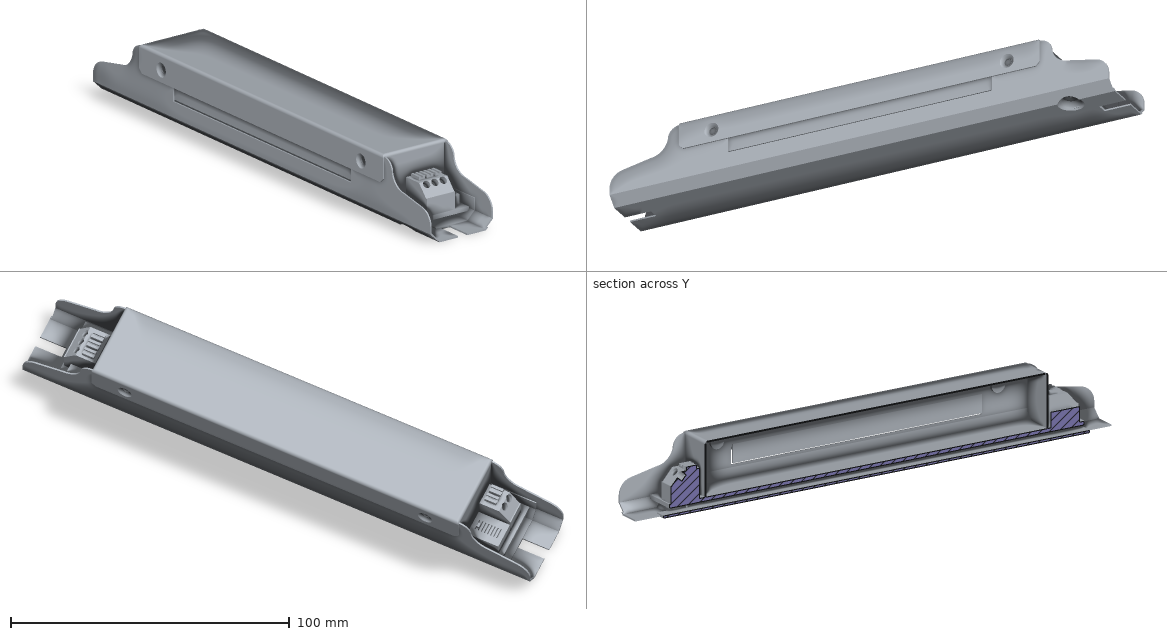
import cadquery as cq
import math

CHANNEL_LEFT = -101.0
CHANNEL_RIGHT = 100.4
FLOOR_RIGHT = 101.0
LIP_HEIGHT = 1.0
SHEET = 0.6
COVER_SHEET = 0.5
COVER_HALF_WIDTH = 14.6
CHANNEL_HALF_WIDTH = COVER_HALF_WIDTH - COVER_SHEET
WALL_INSIDE = CHANNEL_HALF_WIDTH - SHEET
FLOOR_HALF_WIDTH = 10.4
BEND_HEIGHT = 3.6
SLOT_END = 90.5
SLOT_WIDTH = 4.1

WALL_END_HEIGHT = 6.5
NOSE_MID = (1.7, 10.6)
NOSE_TOP = (5.0, 12.4)
SHOULDER_START = (84.4, 14.6)
SHOULDER_MID = (79.8, 16.5)
SHOULDER_END = (77.5, 20.3)
CREST_MID = (76.2, 23.7)
CREST_END = (73.0, 25.2)

COVER_HALF_LENGTH = 72.8
COVER_TOP = 26.0
COVER_BOTTOM = 15.2
COVER_EDGE_RADIUS = 1.2
FLAP_CORNER = 1.6
END_FLAP_HALF_WIDTH = 12.85
END_FLAP_CORNER = 2.7

FIXING_X = 59.6
FIXING_Z = 19.9
DIMPLE_DIAMETER = 5.6
DIMPLE_FLOOR_DIAMETER = 3.2
FIXING_HOLE_DIAMETER = 2.9
FIXING_HOLE_DEPTH = 0.6
FIXING_BACKING = 1.2

WINDOW_HALF_LENGTH = 53.2
WINDOW_BOTTOM = 9.7
WINDOW_TOP = 16.5
TONGUE_GAP = 0.6
TONGUE_OVERLAP = 1.0

LINER = 0.4
LINER_TOP = 8.8
LINER_CUTBACK_X = 70.0
LINER_CUTBACK_Y = -4.0

BOARD_LEFT = -88.2
BOARD_RIGHT = 88.0
BOARD_HALF_WIDTH = 12.6
BOARD_BOTTOM = 3.3
BOARD_TOP = 4.9

EARTH = (82.2, -8.2)
DOME_BASE_DIAMETER = 10.8
DOME_TOP_DIAMETER = 5.6
EARTH_BOARD_HOLE = 2.9
EARTH_DOME_HOLE = 0.7

TERMINAL_DEPTH = 12.4
TERMINAL_FRONT_HEIGHT = 11.6
TERMINAL_TOP = 16.4
TERMINAL_LEDGE = 0.4
TERMINAL_SLOPE_RUN = 4.2
POLE_PITCH = 3.7
WIRE_HOLE_DIAMETER = 2.9
WIRE_HOLE_DEPTH = 2.5
WIRE_HOLE_ALONG_SLOPE = 0.8
BUTTON_START = 6.6
BUTTON_LENGTH = 4.6
BUTTON_WIDTH = 2.8
BUTTON_TOP = 17.8
BUTTON_SLOT_WIDTH = 0.8
BUTTON_SLOT_DEPTH = 0.7
PIN_DIAMETER = 0.7
PIN_BOTTOM = 1.0
LEFT_TERMINAL_FRONT = -86.3
LEFT_TERMINAL_Y = (-9.4, -0.8)
LEFT_POLE_Y = -7.6
LEFT_POLES = 2
RIGHT_TERMINAL_FRONT = 87.4
RIGHT_TERMINAL_Y = (-5.9, 6.8)
RIGHT_POLE_Y = -3.1
RIGHT_POLES = 3

HEADER_Y = (-0.2, 9.6)
HEADER_TOP = 10.8
HEADER_SLITS = 8
HEADER_PITCH = 1.22
HEADER_FIRST_SLIT_X = -84.3
HEADER_SLIT_WIDTH = 0.4
HEADER_SLIT_LENGTH = 4.0
HEADER_SLIT_DEPTH = 0.8
HEADER_SLIT_Y = 4.7
KEY_SIZE = (1.0, 1.6)
KEY_X = -76.4
KEY_Y = 5.2
KEY_TOP = 12.1
PEG_DIAMETER = 1.6
PEG_Y = 8.8
PEG_BOTTOM = 2.2
COMPONENT_X = (75.9, 84.5)
COMPONENT_Y = (7.1, 11.0)
COMPONENT_TOP = 9.0


def block(x_range, y_range, z_range):
    """Box from its limits along the three axes."""
    (x0, x1), (y0, y1), (z0, z1) = x_range, y_range, z_range
    return cq.Workplane("XY").box(x1 - x0, y1 - y0, z1 - z0, centered=False).translate((x0, y0, z0))


def channel_section(inset, top):
    """Closed trough outline (in Y and Z) lying `inset` inside the channel's outer faces."""
    slant = math.atan2(BEND_HEIGHT, CHANNEL_HALF_WIDTH - FLOOR_HALF_WIDTH)
    floor_half = FLOOR_HALF_WIDTH - inset * math.tan(slant / 2)
    wall_half = CHANNEL_HALF_WIDTH - inset
    bend = BEND_HEIGHT + inset * math.tan((math.pi / 2 - slant) / 2)
    return [
        (-wall_half, top),
        (-wall_half, bend),
        (-floor_half, inset),
        (floor_half, inset),
        (wall_half, bend),
        (wall_half, top),
    ]


def trough(inset, x_range, top):
    """Solid filling the trough section between two X positions."""
    section = cq.Workplane("YZ").polyline(channel_section(inset, top)).close()
    return section.extrude(x_range[1] - x_range[0]).translate((x_range[0], 0, 0))


def wall_outline():
    """Side outline of the channel, a low nose and a raised shoulder at each end."""
    nose_left_mid = (CHANNEL_LEFT + NOSE_MID[0], NOSE_MID[1])
    nose_left_top = (CHANNEL_LEFT + NOSE_TOP[0], NOSE_TOP[1])
    nose_right_mid = (CHANNEL_RIGHT - NOSE_MID[0], NOSE_MID[1])
    nose_right_top = (CHANNEL_RIGHT - NOSE_TOP[0], NOSE_TOP[1])

    def left(point):
        return (-point[0], point[1])

    return (
        cq.Workplane("XZ")
        .moveTo(CHANNEL_LEFT, 0)
        .lineTo(CHANNEL_LEFT, WALL_END_HEIGHT)
        .threePointArc(nose_left_mid, nose_left_top)
        .lineTo(*left(SHOULDER_START))
        .threePointArc(left(SHOULDER_MID), left(SHOULDER_END))
        .threePointArc(left(CREST_MID), left(CREST_END))
        .lineTo(*CREST_END)
        .threePointArc(CREST_MID, SHOULDER_END)
        .threePointArc(SHOULDER_MID, SHOULDER_START)
        .lineTo(*nose_right_top)
        .threePointArc(nose_right_mid, (CHANNEL_RIGHT, WALL_END_HEIGHT))
        .lineTo(CHANNEL_RIGHT, 0)
        .close()
        .extrude(CHANNEL_HALF_WIDTH, both=True)
    )


def make_channel():
    """Channel with shaped walls, mounting slots at both ends and a window in the front wall."""
    length = (CHANNEL_LEFT, CHANNEL_RIGHT)
    channel = trough(0, length, COVER_TOP).cut(trough(SHEET, length, COVER_TOP))
    channel = channel.intersect(wall_outline())
    lip_x = (CHANNEL_RIGHT, FLOOR_RIGHT)
    lip = trough(0, lip_x, COVER_TOP).cut(trough(SHEET, lip_x, COVER_TOP))
    lip = lip.intersect(block(lip_x, (-CHANNEL_HALF_WIDTH, CHANNEL_HALF_WIDTH), (0, LIP_HEIGHT)))
    channel = channel.union(lip)
    slot_y = (-SLOT_WIDTH / 2, SLOT_WIDTH / 2)
    for slot_x in ((CHANNEL_LEFT, -SLOT_END), (SLOT_END, FLOOR_RIGHT)):
        channel = channel.cut(block(slot_x, slot_y, (0, SHEET)))
    window = block(
        (-WINDOW_HALF_LENGTH, WINDOW_HALF_LENGTH),
        (-CHANNEL_HALF_WIDTH, -WALL_INSIDE),
        (WINDOW_BOTTOM, WINDOW_TOP),
    )
    tongue = block(
        (-WINDOW_HALF_LENGTH, WINDOW_HALF_LENGTH - TONGUE_GAP),
        (-WALL_INSIDE, -WALL_INSIDE + LINER),
        (WINDOW_BOTTOM + TONGUE_GAP, WINDOW_TOP + TONGUE_OVERLAP),
    )
    return channel.cut(window).union(tongue)


def make_liner():
    """Thin sheet lying on the floor and partly up the walls, cut back around the earth dome."""
    length = (-SLOT_END, SLOT_END)
    liner = trough(SHEET, length, LINER_TOP).cut(trough(SHEET + LINER, length, LINER_TOP))
    cutback = block(
        (LINER_CUTBACK_X, SLOT_END),
        (-CHANNEL_HALF_WIDTH, LINER_CUTBACK_Y),
        (0, LINER_TOP),
    )
    return liner.cut(cutback)


def make_cover():
    """Folded cover: rounded top edges, side flaps outside the walls, end flaps inside them."""
    outer_x = (-COVER_HALF_LENGTH, COVER_HALF_LENGTH)
    inner_x = (-COVER_HALF_LENGTH + COVER_SHEET, COVER_HALF_LENGTH - COVER_SHEET)
    outer = block(outer_x, (-COVER_HALF_WIDTH, COVER_HALF_WIDTH), (COVER_BOTTOM, COVER_TOP))
    outer = outer.edges("|Y and <Z").chamfer(FLAP_CORNER)
    outer = outer.faces(">Z").edges().fillet(COVER_EDGE_RADIUS)
    inner = block(
        outer_x,
        (-CHANNEL_HALF_WIDTH, CHANNEL_HALF_WIDTH),
        (COVER_BOTTOM, COVER_TOP - COVER_EDGE_RADIUS),
    )
    roof_underside = block(
        inner_x,
        (-WALL_INSIDE, WALL_INSIDE),
        (COVER_BOTTOM, COVER_TOP - COVER_SHEET),
    )
    cover = outer.cut(inner).cut(roof_underside)
    for flap_x in ((outer_x[0], inner_x[0]), (inner_x[1], outer_x[1])):
        flap = block(
            flap_x,
            (-END_FLAP_HALF_WIDTH, END_FLAP_HALF_WIDTH),
            (BOARD_TOP, COVER_TOP - COVER_EDGE_RADIUS),
        )
        cover = cover.union(flap.edges("|X and <Z").chamfer(END_FLAP_CORNER))
    return cover


def fixing_plane(x, side):
    """Workplane on the outside of the cover flap at a fixing, facing out of the part."""
    origin = (x, side * COVER_HALF_WIDTH, FIXING_Z)
    return cq.Workplane(cq.Plane(origin=origin, xDir=(1, 0, 0), normal=(0, side, 0)))


def add_fixings(body):
    """Four conical dimples that hold the cover to the walls, each with a small blind hole."""
    dimple_depth = COVER_HALF_WIDTH - WALL_INSIDE
    for x in (-FIXING_X, FIXING_X):
        for side in (-1, 1):
            plane = fixing_plane(x, side)
            backing = plane.workplane(offset=-dimple_depth).circle(DIMPLE_DIAMETER / 2)
            body = body.union(backing.extrude(-FIXING_BACKING))
            dimple = (
                plane.circle(DIMPLE_DIAMETER / 2)
                .workplane(offset=-dimple_depth)
                .circle(DIMPLE_FLOOR_DIAMETER / 2)
                .loft()
            )
            hole = plane.workplane(offset=-dimple_depth).circle(FIXING_HOLE_DIAMETER / 2)
            body = body.cut(dimple).cut(hole.extrude(-FIXING_HOLE_DEPTH))
    return body


def make_board():
    """Circuit board with a clearance hole over the earth dome."""
    board = block(
        (BOARD_LEFT, BOARD_RIGHT),
        (-BOARD_HALF_WIDTH, BOARD_HALF_WIDTH),
        (BOARD_BOTTOM, BOARD_TOP),
    )
    hole = cq.Workplane("XY").center(*EARTH).circle(EARTH_BOARD_HOLE / 2).extrude(BOARD_TOP)
    return board.cut(hole)


def earth_cone(lowering):
    """Cone of the earth dome, lowered to make the hollow underneath."""
    return (
        cq.Workplane("XY", origin=(*EARTH, -lowering))
        .circle(DOME_BASE_DIAMETER / 2)
        .workplane(offset=BOARD_BOTTOM)
        .circle(DOME_TOP_DIAMETER / 2)
        .loft()
    )


def add_earth_dome(channel):
    """Presses a hollow dome up out of the floor until it touches the board."""
    inside = trough(0, (CHANNEL_LEFT, CHANNEL_RIGHT), COVER_TOP)
    pilot = cq.Workplane("XY").center(*EARTH).circle(EARTH_DOME_HOLE / 2).extrude(BOARD_BOTTOM)
    return channel.union(earth_cone(0).intersect(inside)).cut(earth_cone(SHEET)).cut(pilot)


def make_terminal(front_x, inward, y_range, first_pole_y, poles):
    """Push-wire terminal; `inward` is the X direction from its front towards the cover."""
    width = y_range[1] - y_range[0]
    slope_x = front_x + inward * TERMINAL_LEDGE
    slope_top_x = slope_x + inward * TERMINAL_SLOPE_RUN
    back_x = front_x + inward * TERMINAL_DEPTH
    profile = [
        (front_x, BOARD_TOP),
        (front_x, TERMINAL_FRONT_HEIGHT),
        (slope_x, TERMINAL_FRONT_HEIGHT),
        (slope_top_x, TERMINAL_TOP),
        (back_x, TERMINAL_TOP),
        (back_x, BOARD_TOP),
    ]
    terminal = cq.Workplane("XZ", origin=(0, y_range[0], 0)).polyline(profile).close().extrude(-width)

    rise = TERMINAL_TOP - TERMINAL_FRONT_HEIGHT
    wire_x = slope_x + inward * WIRE_HOLE_ALONG_SLOPE * TERMINAL_SLOPE_RUN
    wire_z = TERMINAL_FRONT_HEIGHT + WIRE_HOLE_ALONG_SLOPE * rise
    button_mid_x = front_x + inward * (BUTTON_START + BUTTON_LENGTH / 2)
    for pole in range(poles):
        y = first_pole_y + pole * POLE_PITCH
        slope_plane = cq.Plane(
            origin=(wire_x, y, wire_z),
            xDir=(0, 1, 0),
            normal=(-inward * rise, 0, TERMINAL_SLOPE_RUN),
        )
        wire_hole = (
            cq.Workplane(slope_plane)
            .circle(WIRE_HOLE_DIAMETER / 2)
            .extrude(WIRE_HOLE_DEPTH, both=True)
        )
        button = (
            cq.Workplane("XY", origin=(button_mid_x, y, TERMINAL_TOP))
            .rect(BUTTON_LENGTH, BUTTON_WIDTH)
            .extrude(BUTTON_TOP - TERMINAL_TOP)
        )
        button_slot = (
            cq.Workplane("XY", origin=(button_mid_x, y, BUTTON_TOP - BUTTON_SLOT_DEPTH))
            .rect(BUTTON_LENGTH, BUTTON_SLOT_WIDTH)
            .extrude(BUTTON_SLOT_DEPTH)
        )
        pin = (
            cq.Workplane("XY", origin=(button_mid_x, y, PIN_BOTTOM))
            .circle(PIN_DIAMETER / 2)
            .extrude(BOARD_TOP - PIN_BOTTOM)
        )
        terminal = terminal.cut(wire_hole).union(button).cut(button_slot).union(pin)
    return terminal


def make_header():
    """Flat header beside the left terminal, with slits and a small key on top and a peg below."""
    header_x = (LEFT_TERMINAL_FRONT, LEFT_TERMINAL_FRONT + TERMINAL_DEPTH)
    header = block(header_x, HEADER_Y, (BOARD_TOP, HEADER_TOP))
    for index in range(HEADER_SLITS):
        x = HEADER_FIRST_SLIT_X + index * HEADER_PITCH
        slit = (
            cq.Workplane("XY", origin=(x, HEADER_SLIT_Y, HEADER_TOP))
            .rect(HEADER_SLIT_WIDTH, HEADER_SLIT_LENGTH)
            .extrude(-HEADER_SLIT_DEPTH)
        )
        header = header.cut(slit)
    key = cq.Workplane("XY", origin=(KEY_X, KEY_Y, BOARD_TOP)).rect(*KEY_SIZE)
    peg_x = (header_x[0] + header_x[1]) / 2
    peg = cq.Workplane("XY", origin=(peg_x, PEG_Y, PEG_BOTTOM)).circle(PEG_DIAMETER / 2)
    return header.union(key.extrude(KEY_TOP - BOARD_TOP)).union(peg.extrude(BOARD_TOP - PEG_BOTTOM))


result = add_earth_dome(make_channel())
result = result.union(make_liner())
result = result.union(make_board())
result = result.union(make_cover())
result = add_fixings(result)
left_terminal = make_terminal(LEFT_TERMINAL_FRONT, 1, LEFT_TERMINAL_Y, LEFT_POLE_Y, LEFT_POLES)
right_terminal = make_terminal(RIGHT_TERMINAL_FRONT, -1, RIGHT_TERMINAL_Y, RIGHT_POLE_Y, RIGHT_POLES)
result = result.union(left_terminal).union(right_terminal)
result = result.union(make_header())
result = result.union(block(COMPONENT_X, COMPONENT_Y, (BOARD_TOP, COMPONENT_TOP)))